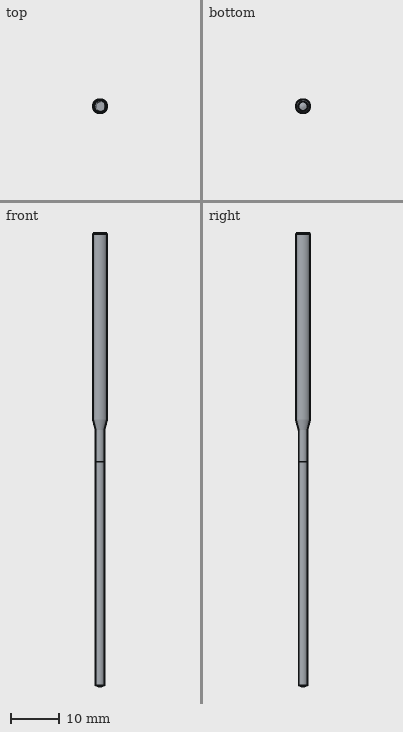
import cadquery as cq
import math

overall_length = 94.34
shank_diameter = 3.0
shank_length = 38.8
shank_end_chamfer = 0.3
drill_diameter = 1.87
point_angle = 140.0
cutting_length = 46.75
neck_start_height = 53.3

shank_radius = shank_diameter / 2
drill_radius = drill_diameter / 2
point_height = drill_radius / math.tan(math.radians(point_angle / 2))
shank_start_height = overall_length - shank_length


def turned(profile):
    """Close a half profile drawn on the -Y side of the YZ plane and revolve it about the Z axis."""
    return profile.close().revolve(360, (0, 0, 0), (0, 1, 0))


def make_cutting_part():
    """Cylindrical cutting length with a conical drill point."""
    return turned(
        cq.Workplane("YZ")
        .moveTo(0, 0)
        .lineTo(-drill_radius, point_height)
        .lineTo(-drill_radius, cutting_length)
        .lineTo(0, cutting_length)
    )


def make_shank():
    """Plain neck, conical transition and thicker shank with a chamfered end."""
    return turned(
        cq.Workplane("YZ")
        .moveTo(0, cutting_length)
        .lineTo(-drill_radius, cutting_length)
        .lineTo(-drill_radius, neck_start_height)
        .lineTo(-shank_radius, shank_start_height)
        .lineTo(-shank_radius, overall_length - shank_end_chamfer)
        .lineTo(shank_end_chamfer - shank_radius, overall_length)
        .lineTo(0, overall_length)
    )


cutting_part = make_cutting_part()
shank = make_shank()

result = cq.Compound.makeCompound([cutting_part.val(), shank.val()])